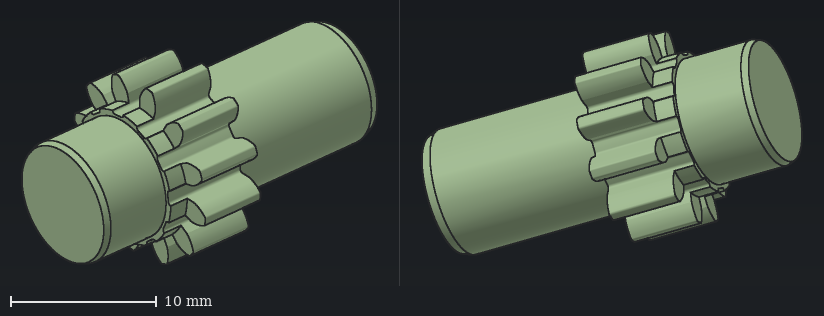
import cadquery as cq
import math

shaft_length = 24.8
shaft_diameter = 9.0
taper_angle = 20.0
front_taper_length = 0.5
rear_taper_length = 0.75

collar_start = 5.48
collar_length = 1.5
collar_radius = 4.98
tooth_length = 5.0
toothed_length = collar_length + tooth_length

tooth_count = 12
tooth_pitch = 360.0 / tooth_count
first_tooth_angle = 81.8
flank_half_angle = 8.5
root_radius = 4.74
shoulder_radius = 5.7
tip_radius = 6.95
tip_half_angle = 2.7
crown_arc_radius = 2.5
root_fillet = 0.25
tip_fillet = 0.2
corner_tolerance = 0.002
cut_clearance = 0.25


def polar(radius, angle):
    """Point in the XZ plane at an angle in degrees measured from +X towards +Z."""
    turn = math.radians(angle)
    return (radius * math.cos(turn), radius * math.sin(turn))


def bulged_midpoint(start, end, radius):
    """Middle of the arc from start to end that bulges to the right of the travel direction."""
    dx = end[0] - start[0]
    dy = end[1] - start[1]
    chord = math.hypot(dx, dy)
    sagitta = radius - math.sqrt(radius**2 - (chord / 2) ** 2)
    mid_x = (start[0] + end[0]) / 2
    mid_y = (start[1] + end[1]) / 2
    return (mid_x + sagitta * dy / chord, mid_y - sagitta * dx / chord)


def make_shaft():
    radius = shaft_diameter / 2
    taper = math.tan(math.radians(taper_angle))
    half_section = [
        (0, 0),
        (radius - front_taper_length * taper, 0),
        (radius, front_taper_length),
        (radius, shaft_length - rear_taper_length),
        (radius - rear_taper_length * taper, shaft_length),
        (0, shaft_length),
    ]
    return cq.Workplane("XY").polyline(half_section).close().revolve(360, (0, 0, 0), (0, 1, 0))


def add_tooth(outline, angle):
    """Append one tooth and the root arc that follows it, going counter-clockwise."""
    shoulder_before = polar(shoulder_radius, angle - flank_half_angle)
    tip_before = polar(tip_radius, angle - tip_half_angle)
    tip_after = polar(tip_radius, angle + tip_half_angle)
    shoulder_after = polar(shoulder_radius, angle + flank_half_angle)
    root_after = polar(root_radius, angle + flank_half_angle)
    next_root = polar(root_radius, angle + tooth_pitch - flank_half_angle)
    return (
        outline.lineTo(*shoulder_before)
        .threePointArc(bulged_midpoint(shoulder_before, tip_before, crown_arc_radius), tip_before)
        .threePointArc(polar(tip_radius, angle), tip_after)
        .threePointArc(bulged_midpoint(tip_after, shoulder_after, crown_arc_radius), shoulder_after)
        .lineTo(*root_after)
        .threePointArc(polar(root_radius, angle + tooth_pitch / 2), next_root)
    )


def fillet_tooth_corners(toothed, corner_radius, fillet):
    """Round the lengthwise tooth edges that lie at corner_radius from the axis."""

    def is_corner(edge):
        middle = edge.Center()
        return abs(math.hypot(middle.x, middle.z) - corner_radius) < corner_tolerance

    return toothed.edges("|Y").filter(is_corner).fillet(fillet)


def make_pinion():
    front_plane = cq.Workplane("XZ", origin=(0, collar_start, 0))

    outline = front_plane.moveTo(*polar(root_radius, first_tooth_angle - flank_half_angle))
    for index in range(tooth_count):
        outline = add_tooth(outline, first_tooth_angle + index * tooth_pitch)
    toothed = outline.close().extrude(-toothed_length)

    toothed = fillet_tooth_corners(toothed, root_radius, root_fillet)
    toothed = fillet_tooth_corners(toothed, tip_radius, tip_fillet)

    turned_off = front_plane.circle(tip_radius + cut_clearance).circle(collar_radius).extrude(-collar_length)
    return toothed.cut(turned_off)


result = make_shaft().union(make_pinion())